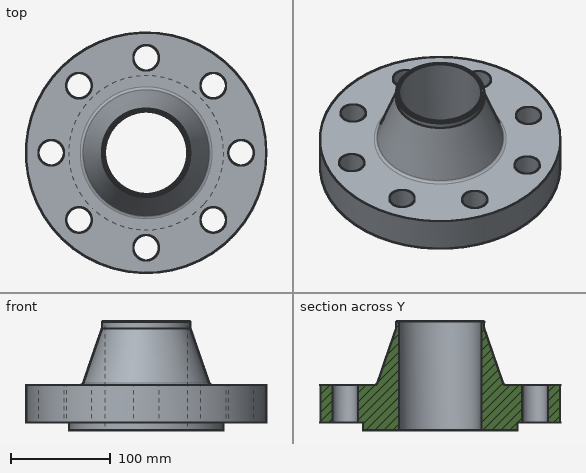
import cadquery as cq

flange_diameter = 241.2
flange_thickness = 37.9

face_diameter = 155.0
face_height = 7.7

hub_height = 64.0
hub_base_diameter = 127.9
hub_fillet_radius = 3.1
neck_diameter = 88.8
neck_length = 7.2
neck_chamfer = 1.0
bore_diameter = 82.5

bolt_count = 8
bolt_circle_diameter = 190.3
bolt_hole_diameter = 25.3

flange_bottom = face_height
flange_top = flange_bottom + flange_thickness
neck_top = flange_top + hub_height
neck_bottom = neck_top - neck_length


def flange_body():
    """Solid of revolution about Z: sealing face, flange, tapered hub, chamfered neck and bore."""
    profile = (
        cq.Workplane("XZ")
        .moveTo(bore_diameter / 2, 0)
        .lineTo(face_diameter / 2, 0)
        .lineTo(face_diameter / 2, flange_bottom)
        .lineTo(flange_diameter / 2, flange_bottom)
        .lineTo(flange_diameter / 2, flange_top)
        .lineTo(hub_base_diameter / 2, flange_top)
        .lineTo(neck_diameter / 2, neck_bottom)
        .lineTo(neck_diameter / 2, neck_top - neck_chamfer)
        .lineTo(neck_diameter / 2 - neck_chamfer, neck_top)
        .lineTo(bore_diameter / 2, neck_top)
        .close()
    )
    return profile.revolve(360, (0, 0, 0), (0, 1, 0))


def fillet_hub_base(body):
    """Round the inner corner where the hub meets the top of the flange."""
    half_slab = 0.02
    flange_top_slab = cq.selectors.BoxSelector(
        (-flange_diameter, -flange_diameter, flange_top - half_slab),
        (flange_diameter, flange_diameter, flange_top + half_slab),
    )
    hub_base_circle = body.edges(flange_top_slab).edges(cq.selectors.RadiusNthSelector(0))
    return hub_base_circle.fillet(hub_fillet_radius)


def bolt_holes():
    """Cylinders that cut the ring of bolt holes through the flange."""
    return (
        cq.Workplane("XY")
        .workplane(offset=flange_bottom)
        .polarArray(bolt_circle_diameter / 2, 0, 360, bolt_count)
        .circle(bolt_hole_diameter / 2)
        .extrude(flange_thickness)
    )


result = fillet_hub_base(flange_body()).cut(bolt_holes())